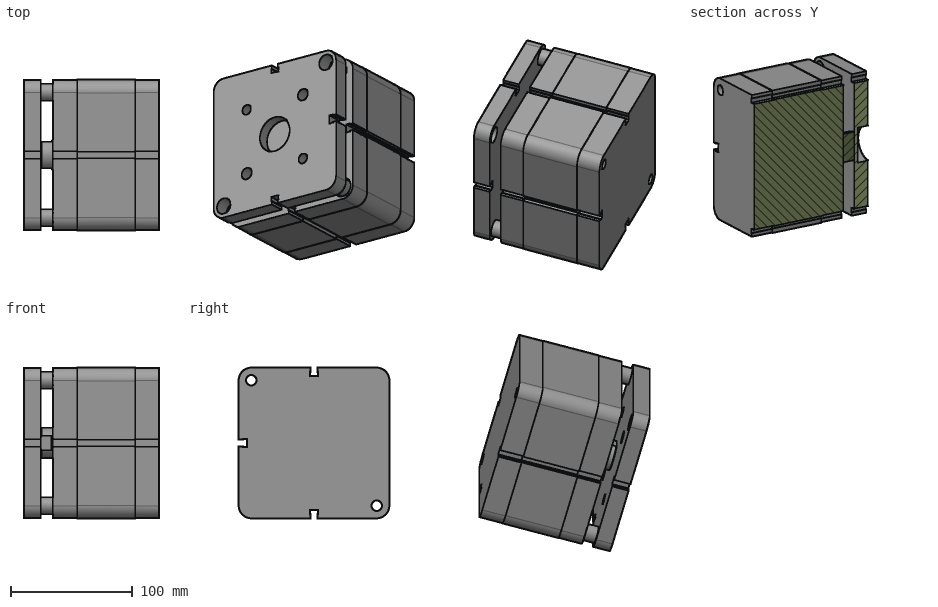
import cadquery as cq

BARREL_SIDE = 124.0
BARREL_CORNER_RADIUS = 10.9
CAP_CORNER_RADIUS = 10.0
SURFACE_INSET = 0.4
TOTAL_LENGTH = 111.0
PLATE_THICKNESS = 14.0
PLATE_GAP = 9.8
FRONT_CAP_LENGTH = 20.0
REAR_CAP_LENGTH = 19.7

SLOT_OPENING = 5.2
SLOT_POCKET_WIDTH = 6.5
SLOT_LIP = 3.8
SLOT_FLOOR = 6.8
SLOT_ANGLES = (-90, 0, 90)

CORNER_OFFSET = 51.5
GUIDE_ROD_DIAMETER = 14.0
GUIDE_HOLE_DIAMETER = 16.0
MOUNTING_HOLE_DIAMETER = 8.4
ACCESS_HOLE_DIAMETER = 13.5

PLATE_HOLE_OFFSET = 28.3
THREADED_HOLE_DIAMETER = 8.5
DOWEL_HOLE_DIAMETER = 10.0
CENTRING_DIAMETER = 30.0
CENTRING_DEPTH = 10.0

ROD_DIAMETER = 25.0
ROD_FLATS = 22.0
ROD_FLAT_LENGTH = 8.5
ROD_FLAT_RUNOUT = 1.1
ROD_CHAMFER = 0.5

X_FRONT = -TOTAL_LENGTH / 2
X_PLATE_BACK = X_FRONT + PLATE_THICKNESS
X_HOUSING = X_PLATE_BACK + PLATE_GAP
X_BARREL = X_HOUSING + FRONT_CAP_LENGTH
X_REAR = TOTAL_LENGTH / 2
X_REAR_CAP = X_REAR - REAR_CAP_LENGTH

GUIDE_PLACES = [(CORNER_OFFSET, CORNER_OFFSET), (-CORNER_OFFSET, -CORNER_OFFSET)]
MOUNTING_PLACES = [(-CORNER_OFFSET, CORNER_OFFSET), (CORNER_OFFSET, -CORNER_OFFSET)]
THREADED_PLACES = [(PLATE_HOLE_OFFSET, PLATE_HOLE_OFFSET), (-PLATE_HOLE_OFFSET, -PLATE_HOLE_OFFSET)]
DOWEL_PLACES = [(-PLATE_HOLE_OFFSET, PLATE_HOLE_OFFSET), (PLATE_HOLE_OFFSET, -PLATE_HOLE_OFFSET)]


def section_plane(x):
    """YZ workplane at the given X, with local axes Y and Z."""
    return cq.Workplane("YZ", origin=(x, 0, 0))


def cylinders(x_start, x_end, diameter, places):
    """Cylinders along X, one at each (Y, Z) place."""
    return section_plane(x_start).pushPoints(places).circle(diameter / 2).extrude(x_end - x_start)


def slot(x_start, x_end, inset):
    """Undercut slot in the -Y side, with all its walls moved outwards by the inset."""
    face = -BARREL_SIDE / 2
    lip = face + SLOT_LIP - inset
    floor = face + SLOT_FLOOR + inset
    half_opening = SLOT_OPENING / 2 + inset
    half_pocket = SLOT_POCKET_WIDTH / 2 + inset
    outline = section_plane(x_start).polyline(
        [
            (face, -half_opening),
            (lip, -half_opening),
            (lip, -half_pocket),
            (floor, -half_pocket),
            (floor, half_pocket),
            (lip, half_pocket),
            (lip, half_opening),
            (face, half_opening),
        ]
    )
    return outline.close().extrude(x_end - x_start)


def slotted_block(x_start, x_end, corner_radius, inset=0.0):
    """Rounded square block along X, slotted on three sides and inset from the barrel outline."""
    side = BARREL_SIDE - 2 * inset
    block = section_plane(x_start).rect(side, side).extrude(x_end - x_start)
    block = block.edges("|X").fillet(corner_radius)
    side_slot = slot(x_start, x_end, inset)
    for angle in SLOT_ANGLES:
        block = block.cut(side_slot.rotate((0, 0, 0), (1, 0, 0), angle))
    return block


def make_plate():
    """Front plate with its fixing holes and a blind centring recess."""
    plate = slotted_block(X_FRONT, X_PLATE_BACK, CAP_CORNER_RADIUS, SURFACE_INSET)
    plate = plate.cut(cylinders(X_FRONT, X_PLATE_BACK, ACCESS_HOLE_DIAMETER, MOUNTING_PLACES))
    plate = plate.cut(cylinders(X_FRONT, X_PLATE_BACK, THREADED_HOLE_DIAMETER, THREADED_PLACES))
    plate = plate.cut(cylinders(X_FRONT, X_PLATE_BACK, DOWEL_HOLE_DIAMETER, DOWEL_PLACES))
    return plate.cut(cylinders(X_FRONT, X_FRONT + CENTRING_DEPTH, CENTRING_DIAMETER, [(0, 0)]))


def make_housing():
    """Barrel between two slightly smaller caps, with blind guide holes and through mounting holes."""
    front_cap = slotted_block(X_HOUSING, X_BARREL, CAP_CORNER_RADIUS, SURFACE_INSET)
    barrel = slotted_block(X_BARREL, X_REAR_CAP, BARREL_CORNER_RADIUS)
    rear_cap = slotted_block(X_REAR_CAP, X_REAR, CAP_CORNER_RADIUS, SURFACE_INSET)
    housing = barrel.union(front_cap).union(rear_cap)
    housing = housing.cut(cylinders(X_HOUSING, X_BARREL, GUIDE_HOLE_DIAMETER, GUIDE_PLACES))
    return housing.cut(cylinders(X_HOUSING, X_REAR, MOUNTING_HOLE_DIAMETER, MOUNTING_PLACES))


def make_piston_rod():
    """Rod with two wrench flats on its Y sides that slope out to the full diameter."""
    rod = cylinders(X_PLATE_BACK, X_HOUSING, ROD_DIAMETER, [(0, 0)])
    rod = rod.faces("<X").chamfer(ROD_CHAMFER)
    x_flat_end = X_PLATE_BACK + ROD_FLAT_LENGTH
    flat = ROD_FLATS / 2
    radius = ROD_DIAMETER / 2
    flat_cut = (
        cq.Workplane("XY", origin=(0, 0, -radius))
        .polyline(
            [
                (X_PLATE_BACK, flat),
                (x_flat_end, flat),
                (x_flat_end + ROD_FLAT_RUNOUT, radius),
                (X_PLATE_BACK, radius),
            ]
        )
        .close()
        .extrude(ROD_DIAMETER)
    )
    return rod.cut(flat_cut).cut(flat_cut.mirror("XZ"))


def make_guide_rod(place):
    """Rod from the back of the plate, through the gap, to the floor of its clearance hole."""
    return cylinders(X_PLATE_BACK, X_BARREL, GUIDE_ROD_DIAMETER, [place])


plate = make_plate()
housing = make_housing()
piston_rod = make_piston_rod()
guide_rods = [make_guide_rod(place).val() for place in GUIDE_PLACES]

result = cq.Compound.makeCompound([plate.val(), housing.val(), piston_rod.val(), *guide_rods])